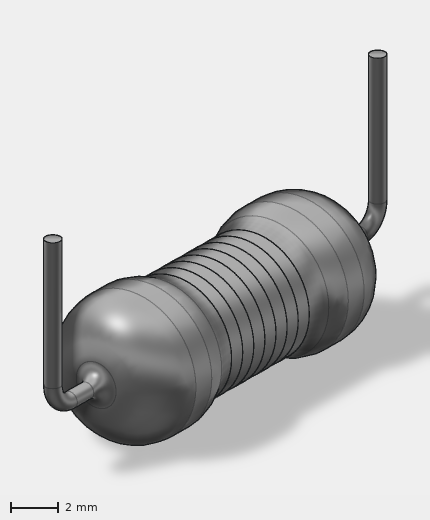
import cadquery as cq
import math

overall_length = 23.3
overall_height = 11.6
body_diameter = 7.0
waist_diameter = 5.95
band_diameter = 5.96
lead_diameter = 0.8

body_half_length = 8.25
cap_radius = 2.42
shoulder_start = 4.73

band_count = 4
band_width = 0.77

bend_radius = 1.19

body_radius = body_diameter / 2
waist_radius = waist_diameter / 2
lead_radius = lead_diameter / 2
cap_start = body_half_length - cap_radius
cap_face_radius = body_radius - cap_radius
band_pitch = 2 * band_width
waist_half_length = (2 * band_count - 1) * band_width / 2
lead_y = overall_length / 2 - lead_radius
lead_top = overall_height - body_radius

lead_fillet_radius = cap_face_radius - lead_radius
lead_fillet_end = body_half_length + lead_fillet_radius

shoulder_half_run = (shoulder_start - waist_half_length) / 2
shoulder_half_drop = (body_radius - waist_radius) / 2
shoulder_radius = (shoulder_half_run**2 + shoulder_half_drop**2) / (2 * shoulder_half_drop)
shoulder_half_angle = math.asin(shoulder_half_run / shoulder_radius) / 2
shoulder_mid_run = shoulder_radius * math.sin(shoulder_half_angle)
shoulder_mid_drop = shoulder_radius * (1 - math.cos(shoulder_half_angle))

DIAGONAL = math.sqrt(0.5)


def make_body_end():
    """Revolve the +Y end of the body: shoulder, rounded cap and the fillet onto the lead."""
    cap_mid = (
        cap_face_radius + cap_radius * DIAGONAL,
        cap_start + cap_radius * DIAGONAL,
    )
    fillet_mid = (
        lead_radius + lead_fillet_radius * (1 - DIAGONAL),
        lead_fillet_end - lead_fillet_radius * DIAGONAL,
    )
    profile = (
        cq.Workplane("XY")
        .moveTo(0, waist_half_length)
        .lineTo(waist_radius, waist_half_length)
        .threePointArc(
            (waist_radius + shoulder_mid_drop, waist_half_length + shoulder_mid_run),
            (waist_radius + shoulder_half_drop, waist_half_length + shoulder_half_run),
        )
        .threePointArc(
            (body_radius - shoulder_mid_drop, shoulder_start - shoulder_mid_run),
            (body_radius, shoulder_start),
        )
        .lineTo(body_radius, cap_start)
        .threePointArc(cap_mid, (cap_face_radius, body_half_length))
        .threePointArc(fillet_mid, (lead_radius, lead_fillet_end))
        .lineTo(0, lead_fillet_end)
        .close()
    )
    return profile.revolve(360, (0, 0, 0), (0, 1, 0))


def make_disc(diameter, width, center_y):
    """Solid disc on the body axis, centred at center_y."""
    return (
        cq.Workplane("XZ", origin=(0, center_y + width / 2, 0))
        .circle(diameter / 2)
        .extrude(width)
    )


def make_lead():
    """Round wire leaving the +Y end and bending upward."""
    bend_start = lead_y - bend_radius
    path = (
        cq.Workplane("YZ")
        .moveTo(lead_fillet_end, 0)
        .lineTo(bend_start, 0)
        .threePointArc(
            (bend_start + bend_radius * DIAGONAL, bend_radius * (1 - DIAGONAL)),
            (lead_y, bend_radius),
        )
        .lineTo(lead_y, lead_top)
    )
    section = cq.Workplane("XZ", origin=(0, lead_fillet_end, 0)).circle(lead_radius)
    return section.sweep(path)


lead_end = make_body_end().union(make_lead())
result = make_disc(waist_diameter, 2 * waist_half_length, 0)
result = result.union(lead_end).union(lead_end.mirror("XZ"))

for index in range(band_count):
    band_y = (index - (band_count - 1) / 2) * band_pitch
    result = result.union(make_disc(band_diameter, band_width, band_y))